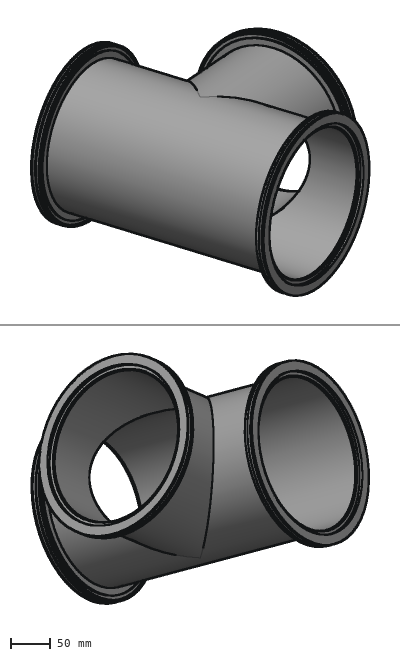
import cadquery as cq

run_length = 356.0
branch_length = 178.0
run_end = run_length / 2

pipe_outer_radius = 102.0
pipe_wall = 2.0
pipe_inner_radius = pipe_outer_radius - pipe_wall

flange_radius = 120.0
flange_thickness = 12.0
rim_chamfer = 0.55

clamp_groove_start = 1.8
clamp_groove_width = 5.7
clamp_groove_depth = 2.0

recess_radius = 106.5
recess_depth = 4.3
lip_radius = 101.0
lip_length = 2.0
socket_floor = recess_depth + lip_length

back_groove_outer_radius = 117.5
back_groove_inner_radius = 111.8
back_groove_depth = 1.8


def make_flange():
    """Flange ring about Z, sealing face on Z = 0, pipe side towards +Z."""
    clamp_groove_middle = clamp_groove_start + clamp_groove_width / 2
    clamp_groove_end = clamp_groove_start + clamp_groove_width
    back_groove_floor = flange_thickness - back_groove_depth
    profile = [
        (recess_radius, 0),
        (flange_radius, 0),
        (flange_radius, clamp_groove_start),
        (flange_radius - clamp_groove_depth, clamp_groove_middle),
        (flange_radius, clamp_groove_end),
        (flange_radius, flange_thickness - rim_chamfer),
        (flange_radius - rim_chamfer, flange_thickness),
        (back_groove_outer_radius, flange_thickness),
        (back_groove_outer_radius, back_groove_floor),
        (back_groove_inner_radius, back_groove_floor),
        (back_groove_inner_radius, flange_thickness),
        (pipe_outer_radius, flange_thickness),
        (pipe_outer_radius, socket_floor),
        (lip_radius, socket_floor),
        (lip_radius, recess_depth),
        (recess_radius, recess_depth),
    ]
    return cq.Workplane("XZ").polyline(profile).close().revolve(360, (0, 0, 0), (0, 1, 0))


def tee_solid(radius, run_end, branch_end):
    """Two crossing cylinders of one radius."""
    run = cq.Workplane("YZ").workplane(offset=-run_end).circle(radius).extrude(2 * run_end)
    branch = cq.Workplane("XZ").circle(radius).extrude(-branch_end)
    return run.union(branch)


def make_tee():
    """Pipe tee whose ends seat in the flange sockets."""
    outside = tee_solid(pipe_outer_radius, run_end - socket_floor, branch_length - socket_floor)
    bore = tee_solid(pipe_inner_radius, run_end, branch_length)
    return outside.cut(bore)


tee = make_tee()

flange_ports = [
    ((-run_end, 0, 0), (1, 0, 0)),
    ((run_end, 0, 0), (-1, 0, 0)),
    ((0, branch_length, 0), (0, -1, 0)),
]
flange = make_flange().val()
flanges = [
    flange.moved(cq.Plane(origin=centre, xDir=(0, 0, 1), normal=inward).location)
    for centre, inward in flange_ports
]

result = cq.Compound.makeCompound([tee.val(), *flanges])